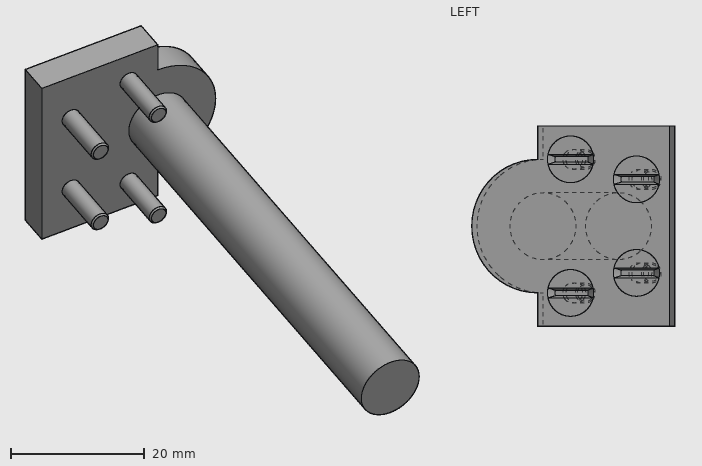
import cadquery as cq

PLATE_THICKNESS = 5.0
PLATE_WIDTH = 20.0
PLATE_HEIGHT = 30.0
TAB_RADIUS = 10.0

ROD_DIAMETER = 10.0
ROD_REACH = 75.0

HEAD_DIAMETER = 7.0
SHANK_DIAMETER = 3.0
HEAD_DEPTH = (HEAD_DIAMETER - SHANK_DIAMETER) / 2
SCREW_LENGTH = 14.0
TIP_CHAMFER = 0.25
SLOT_WIDTH = 1.5
SLOT_FLOOR_WIDTH = 0.8
SLOT_DEPTH = 1.0

TAB_SIDE_SCREW = (5.0, 10.0)
EDGE_SIDE_SCREW = (15.0, 7.0)
SCREW_PLACES = [
    (-across, side * height)
    for across, height in (TAB_SIDE_SCREW, EDGE_SIDE_SCREW)
    for side in (1, -1)
]

TILT_ANGLE = -9.29


def screw_blank():
    """Screw without its slot: a cone head and a plain shank along +X, front face at X = 0."""
    head_radius = HEAD_DIAMETER / 2
    shank_radius = SHANK_DIAMETER / 2
    return (
        cq.Workplane("XY")
        .moveTo(0, 0)
        .lineTo(0, head_radius)
        .lineTo(HEAD_DEPTH, shank_radius)
        .lineTo(SCREW_LENGTH - TIP_CHAMFER, shank_radius)
        .lineTo(SCREW_LENGTH, shank_radius - TIP_CHAMFER)
        .lineTo(SCREW_LENGTH, 0)
        .close()
        .revolve(360, (0, 0, 0), (1, 0, 0))
    )


def make_screw(place):
    """Countersunk screw at the given place, with a slot that narrows toward its floor."""
    slot = (
        cq.Workplane("XZ")
        .moveTo(0, SLOT_WIDTH / 2)
        .lineTo(SLOT_DEPTH, SLOT_FLOOR_WIDTH / 2)
        .lineTo(SLOT_DEPTH, -SLOT_FLOOR_WIDTH / 2)
        .lineTo(0, -SLOT_WIDTH / 2)
        .close()
        .extrude(HEAD_DIAMETER / 2, both=True)
    )
    return screw_blank().cut(slot).translate((0, *place))


def make_plate_with_rod():
    """Plate and rod as one solid, with a countersunk hole for each screw."""
    plate = cq.Workplane("XY").box(
        PLATE_THICKNESS, PLATE_WIDTH, PLATE_HEIGHT, centered=(False, False, True)
    ).translate((0, -PLATE_WIDTH, 0))
    tab = cq.Workplane("YZ").circle(TAB_RADIUS).extrude(PLATE_THICKNESS)
    rod = cq.Workplane("YZ").circle(ROD_DIAMETER / 2).extrude(ROD_REACH)
    body = plate.union(tab).union(rod)
    for place in SCREW_PLACES:
        body = body.cut(screw_blank().translate((0, *place)))
    return body


def tilt(body):
    """Turn a body about the Z axis into its final direction."""
    return body.rotate((0, 0, 0), (0, 0, 1), TILT_ANGLE)


plate_with_rod = tilt(make_plate_with_rod())
screws = [tilt(make_screw(place)) for place in SCREW_PLACES]

result = cq.Compound.makeCompound(
    [plate_with_rod.val(), *[screw.val() for screw in screws]]
)